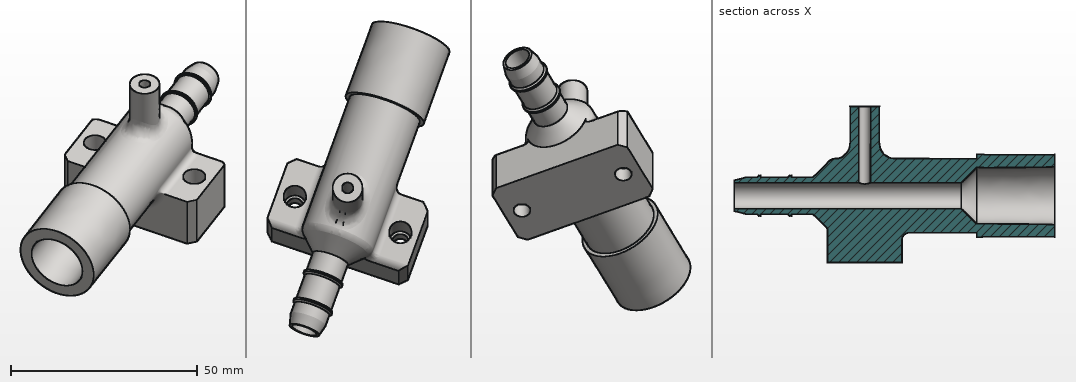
import cadquery as cq
import math


body_radius = 20.0 / 2
socket_rim_radius = 11.1
socket_radius = 11.2
mouth_y = -51.0
socket_length = 21.0
socket_end_y = mouth_y + socket_length
shoulder_round = 2.5

barb_radius = 5.0
ring_radius = 11.0 / 2
tip_radius = 4.2
overall_length = 86
tip_y = mouth_y + overall_length
tip_length = 3.0
neck_y = 13.9
ring_width = 1.0
ring_offsets = (6.1, 14.4)
shoulder_y = neck_y - (body_radius - barb_radius)

bore_radius = 7.0 / 2
socket_bore_radius = 15.05 / 2
socket_mouth_radius = 15.4 / 2
port_bore_diameter = 3.0

port_diameter = 8.0
port_top = 24.0
port_round = 4.0

block_width = 40.0
block_depth = 20.0
block_top = -3.0
block_bottom = -18.0
corner_chamfer = 2.0
rear_chamfer = block_depth / 2 - shoulder_y
block_round = 2.0

hole_spacing = 30.0
hole_diameter = 4.5
counterbore_diameter = 6.0
counterbore_depth = 10.0


def revolve_about_y(points):
    """Turn a (radius, y) outline around the main axis."""
    return cq.Workplane("XY").polyline(points).close().revolve(360, (0, 0, 0), (0, 1, 0))


def make_body():
    """Tapered socket, barrel, 45 degree shoulder and plain barb."""
    return revolve_about_y([
        (0, mouth_y),
        (socket_rim_radius, mouth_y),
        (socket_radius, socket_end_y),
        (body_radius, socket_end_y),
        (body_radius, shoulder_y),
        (barb_radius, neck_y),
        (barb_radius, tip_y - tip_length),
        (tip_radius, tip_y),
        (0, tip_y),
    ])


def make_ring(offset):
    """Barb ring: sloped towards the tip, then a narrow cylindrical land."""
    front_y = tip_y - offset
    back_y = front_y - ring_width
    return revolve_about_y([
        (0, front_y),
        (barb_radius, front_y),
        (ring_radius, front_y - ring_width / 2),
        (ring_radius, back_y),
        (0, back_y),
    ])


def make_block():
    """Foot with chamfered upright corners and a sloped top rear edge."""
    height = block_top - block_bottom
    block = (
        cq.Workplane("XY", origin=(0, 0, block_bottom))
        .rect(block_width, block_depth)
        .extrude(height)
        .edges("|Z")
        .chamfer(corner_chamfer)
    )
    return block.faces(">Z").edges(">Y").chamfer(rear_chamfer)


def edges_near(solid, points):
    """Collect the edges of the solid passing through the given points."""
    found = []
    for point in points:
        vertex = cq.Vertex.makeVertex(*point)
        found.append(min(solid.edges().vals(), key=lambda edge: edge.distance(vertex)))
    return solid.newObject(found)


def blend_block(solid):
    """Fillet the block into the barrel along its top and front."""
    side_x = math.sqrt(body_radius**2 - block_top**2)
    return edges_near(solid, [
        (side_x, 0, block_top),
        (-side_x, 0, block_top),
        (0, -block_depth / 2, -body_radius),
    ]).fillet(block_round)


def round_shoulder(solid, height):
    """Round the 45 degree rear shoulder edge whose top lies at the given height."""
    return edges_near(solid, [(0, shoulder_y, height)]).fillet(shoulder_round)


def add_port(solid):
    """Upright port with a generous fillet at its root."""
    port = cq.Workplane("XY").circle(port_diameter / 2).extrude(port_top)
    root_z = math.sqrt(body_radius**2 - (port_diameter / 2) ** 2)
    joined = solid.union(port)
    return edges_near(joined, [(port_diameter / 2, 0, root_z)]).fillet(port_round)


def make_main_bore():
    """Slightly tapered socket bore, 45 degree funnel and through bore."""
    return revolve_about_y([
        (0, mouth_y),
        (socket_mouth_radius, mouth_y),
        (socket_bore_radius, socket_end_y),
        (bore_radius, socket_end_y + socket_bore_radius - bore_radius),
        (bore_radius, tip_y),
        (0, tip_y),
    ])


def cut_mounting_holes(solid):
    """Counterbored holes through both ears of the block."""
    return (
        solid.copyWorkplane(cq.Workplane("XY", origin=(0, 0, block_top)))
        .rarray(hole_spacing, 0.9, 2, 1)
        .cboreHole(hole_diameter, counterbore_diameter, counterbore_depth)
    )


body = round_shoulder(make_body(), body_radius)
block = round_shoulder(make_block(), block_top)
result = blend_block(body.union(block))
result = add_port(result)
for ring_offset in ring_offsets:
    result = result.union(make_ring(ring_offset))
result = result.cut(make_main_bore())
result = result.cut(cq.Workplane("XY").circle(port_bore_diameter / 2).extrude(port_top))
result = cut_mounting_holes(result)